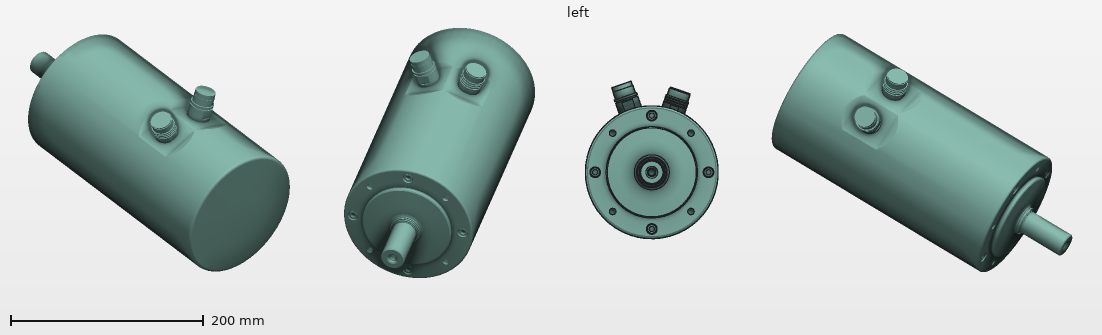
import cadquery as cq
import math

BODY_RADIUS = 138.0 / 2
LENGTH = 325.0

SHAFT_RADIUS = 25.0 / 2
SHAFT_TIP_CHAMFER = 1.0
SHAFT_GROOVE_X = 48.0

SHAFT_GROOVE_RADIUS = 12.0
SHAFT_GROOVE_END_X = 49.5
HUB_FACE_X = 50.5
SEAL_GROOVE_INNER_RADIUS = 27.0 / 2
SEAL_GROOVE_OUTER_RADIUS = 30.0 / 2
SEAL_GROOVE_DEPTH = 1.5
HUB_RIM_RADIUS = 15.5
HUB_RIM_END_X = 51.7
HUB_NECK_RADIUS = 15.0
HUB_NECK_END_X = 52.5
HUB_RADIUS = 16.0
HUB_FLARE_X = 54.3

CONE_START_X = 55.2
CONE_START_RADIUS = 18.2
CONE_END_X = 57.5
CONE_END_RADIUS = 46.0

SPIGOT_RADIUS = 47.5
SPIGOT_CHAMFER_END_X = 58.5
RELIEF_RADIUS = 46.8
RELIEF_X = 60.0

FLANGE_X = 63.0
FLANGE_FILLET = 2.3
REAR_FILLET = 3.2
REAR_CONE_HEIGHT = 1.15

CENTRE_MOUTH_DIAMETER = 12.5
CENTRE_COUNTERSINK_DEPTH = 1.0
CENTRE_BORE_DIAMETER = 9.0
CENTRE_BORE_DEPTH = 3.2
CENTRE_DRILL_DIAMETER = 6.8
CENTRE_DRILL_DEPTH = 16.2

TAPPED_HOLE_DIAMETER = 6.8
TAPPED_HOLE_DEPTH = 13.0
TAPPED_CIRCLE_RADIUS = 57.5
TAPPED_START_ANGLE = 45.0
DRILL_POINT_ANGLE = 118.0
SCREW_CIRCLE_RADIUS = 58.8
SCREW_START_ANGLE = 0.0
SCREW_RECESS_DIAMETER = 11.0
SCREW_HEAD_DIAMETER = 9.0
SCREW_RECESS_DEPTH = 3.2
SCREW_HEAD_SUNK = 1.0
SCREW_SOCKET_DIAMETER = 5.5
SCREW_SOCKET_DEPTH = 3.2
HOLES_PER_CIRCLE = 4

CONNECTOR_X = 231.0
CONNECTOR_TILT = 19.1
FLAT_SIZE = 42.2
FLAT_END_SLOPE = 20.0
CUT_CLEARANCE = 3.2
FLAT_HEIGHT = math.sqrt(BODY_RADIUS**2 - (FLAT_SIZE / 2) ** 2)

COLLAR_RADIUS = 12.5
GROOVE_RADIUS = 11.0
RIM_RADIUS = 10.7

POWER_BASE_RADIUS = 24.5 / 2
POWER_ACROSS_FLATS = 21.5
POWER_PLUG_RADIUS = 11.0
POWER_TOP = 96.5
POWER_RIM = 91.5
POWER_COLLAR_BOTTOM = 81.2
POWER_COLLAR_TOP = 83.5
POWER_GROOVE_BOTTOM = 79.5
POWER_WRENCH_BOTTOM = 69.2
POWER_WRENCH_TOP = 78.3

SIGNAL_BASE_RADIUS = 12.5
SIGNAL_ACROSS_FLATS = 23.0
SIGNAL_PLUG_RADIUS = 11.5
SIGNAL_TOP = 90.0
SIGNAL_RIM = 88.7
SIGNAL_WRENCH_TOP = 72.8
SIGNAL_RIBS_BOTTOM = 73.5
SIGNAL_FIRST_RIB_BOTTOM = 74.5
SIGNAL_RIB_PITCH = 2.5
SIGNAL_RIB_WIDTH = 1.5
SIGNAL_RIB_COUNT = 3


def turned_motor():
    """Housing, end cover and shaft revolved as one profile of (X, radius) points."""
    rear_face_x = LENGTH - REAR_CONE_HEIGHT
    front_to_hub = [
        (0, 0),
        (0, SHAFT_RADIUS - SHAFT_TIP_CHAMFER),
        (SHAFT_TIP_CHAMFER, SHAFT_RADIUS),
        (SHAFT_GROOVE_X, SHAFT_RADIUS),
        (SHAFT_GROOVE_X, SHAFT_GROOVE_RADIUS),
        (SHAFT_GROOVE_END_X, SHAFT_GROOVE_RADIUS),
        (SHAFT_GROOVE_END_X, SHAFT_RADIUS),
        (HUB_FACE_X, SHAFT_RADIUS),
        (HUB_FACE_X, SEAL_GROOVE_INNER_RADIUS),
        (HUB_FACE_X + SEAL_GROOVE_DEPTH, SEAL_GROOVE_INNER_RADIUS),
        (HUB_FACE_X + SEAL_GROOVE_DEPTH, SEAL_GROOVE_OUTER_RADIUS),
        (HUB_FACE_X, SEAL_GROOVE_OUTER_RADIUS),
        (HUB_FACE_X, HUB_RIM_RADIUS),
        (HUB_RIM_END_X, HUB_RIM_RADIUS),
        (HUB_RIM_END_X, HUB_NECK_RADIUS),
        (HUB_NECK_END_X, HUB_NECK_RADIUS),
        (HUB_NECK_END_X, HUB_RADIUS),
        (HUB_FLARE_X, HUB_RADIUS),
    ]
    cover_to_flange = [
        (CONE_START_X, CONE_START_RADIUS),
        (CONE_END_X, CONE_END_RADIUS),
        (SPIGOT_CHAMFER_END_X, SPIGOT_RADIUS),
        (RELIEF_X, SPIGOT_RADIUS),
        (RELIEF_X, RELIEF_RADIUS),
        (FLANGE_X, RELIEF_RADIUS),
        (FLANGE_X, BODY_RADIUS - FLANGE_FILLET),
    ]
    profile = (
        cq.Workplane("XY")
        .polyline(front_to_hub + cover_to_flange)
        .radiusArc((FLANGE_X + FLANGE_FILLET, BODY_RADIUS), FLANGE_FILLET)
        .lineTo(rear_face_x - REAR_FILLET, BODY_RADIUS)
        .radiusArc((rear_face_x, BODY_RADIUS - REAR_FILLET), REAR_FILLET)
        .lineTo(LENGTH, 0)
        .close()
    )
    return profile.revolve(360, (0, 0, 0), (1, 0, 0))


def along_x(x, y=0.0, z=0.0):
    """Workplane facing +X through the given point."""
    return cq.Workplane("YZ", origin=(x, y, z))


def circle_positions(radius, first_angle):
    """Evenly spaced (Y, Z) points on a bolt circle."""
    angles = [math.radians(first_angle + i * 360 / HOLES_PER_CIRCLE) for i in range(HOLES_PER_CIRCLE)]
    return [(radius * math.cos(a), radius * math.sin(a)) for a in angles]


def pointed_hole(x, y, z, diameter, depth):
    """Drilled hole running in +X, ending in a drill point."""
    radius = diameter / 2
    point = radius / math.tan(math.radians(DRILL_POINT_ANGLE / 2))
    profile = [(0, 0), (0, radius), (depth, radius), (depth + point, 0)]
    hole = cq.Workplane("XY").polyline(profile).close().revolve(360, (0, 0, 0), (1, 0, 0))
    return hole.translate((x, y, z))


def shaft_centre_hole():
    """Countersunk centre hole with a shallow bore and a pointed drill hole."""
    countersink = (
        along_x(0)
        .circle(CENTRE_MOUTH_DIAMETER / 2)
        .workplane(offset=CENTRE_COUNTERSINK_DEPTH)
        .circle(CENTRE_BORE_DIAMETER / 2)
        .loft()
    )
    bore = along_x(0).circle(CENTRE_BORE_DIAMETER / 2).extrude(CENTRE_BORE_DEPTH)
    drill = pointed_hole(0, 0, 0, CENTRE_DRILL_DIAMETER, CENTRE_DRILL_DEPTH)
    return countersink.union(bore).union(drill)


def screw_recess(y, z):
    """Counterbore around a sunk screw head, and the socket in the head."""
    counterbore = along_x(FLANGE_X, y, z).circle(SCREW_RECESS_DIAMETER / 2).extrude(SCREW_RECESS_DEPTH)
    head_x = FLANGE_X + SCREW_HEAD_SUNK
    head_height = SCREW_RECESS_DEPTH - SCREW_HEAD_SUNK
    head = along_x(head_x, y, z).circle(SCREW_HEAD_DIAMETER / 2).extrude(head_height)
    socket = along_x(head_x, y, z).circle(SCREW_SOCKET_DIAMETER / 2).extrude(SCREW_SOCKET_DEPTH)
    return counterbore.cut(head).union(socket)


def tilted(shape, tilt):
    """Move a shape built upright on the motor axis to a connector's place."""
    return shape.rotate((0, 0, 0), (1, 0, 0), tilt).translate((CONNECTOR_X, 0, 0))


def connector_flat_cut():
    """Square flat with sloping ends, cut into the top of the housing."""
    cut_height = BODY_RADIUS - FLAT_HEIGHT + CUT_CLEARANCE
    half_bottom = FLAT_SIZE / 2
    half_top = half_bottom + cut_height / math.tan(math.radians(FLAT_END_SLOPE))
    top = FLAT_HEIGHT + cut_height
    section = [(-half_bottom, FLAT_HEIGHT), (half_bottom, FLAT_HEIGHT), (half_top, top), (-half_top, top)]
    return cq.Workplane("XZ").polyline(section).close().extrude(FLAT_SIZE, both=True)


def make_motor():
    motor = turned_motor().cut(shaft_centre_hole())
    for y, z in circle_positions(TAPPED_CIRCLE_RADIUS, TAPPED_START_ANGLE):
        motor = motor.cut(pointed_hole(FLANGE_X, y, z, TAPPED_HOLE_DIAMETER, TAPPED_HOLE_DEPTH))
    for y, z in circle_positions(SCREW_CIRCLE_RADIUS, SCREW_START_ANGLE):
        motor = motor.cut(screw_recess(y, z))
    for tilt in (-CONNECTOR_TILT, CONNECTOR_TILT):
        motor = motor.cut(tilted(connector_flat_cut(), tilt))
    return motor


def ring(bottom, top, radius):
    """Upright cylinder between two heights above the motor axis."""
    return cq.Workplane("XY", origin=(0, 0, bottom)).circle(radius).extrude(top - bottom)


def base_with_flats(radius, top, across_flats, flats_bottom, flats_top):
    """Connector base standing on the housing flat, with wrench flats on its -X and +X sides."""
    base = ring(FLAT_HEIGHT, top, radius)
    outside = ring(flats_bottom, flats_top, radius)
    between_flats = cq.Workplane("XY").rect(across_flats, 2 * radius).extrude(top)
    return base.cut(outside.cut(between_flats))


def make_power_connector():
    connector = base_with_flats(
        POWER_BASE_RADIUS, POWER_GROOVE_BOTTOM, POWER_ACROSS_FLATS, POWER_WRENCH_BOTTOM, POWER_WRENCH_TOP
    )
    connector = connector.union(ring(POWER_GROOVE_BOTTOM, POWER_COLLAR_BOTTOM, GROOVE_RADIUS))
    connector = connector.union(ring(POWER_COLLAR_BOTTOM, POWER_COLLAR_TOP, COLLAR_RADIUS))
    connector = connector.union(ring(POWER_COLLAR_TOP, POWER_RIM, POWER_PLUG_RADIUS))
    connector = connector.union(ring(POWER_RIM, POWER_TOP, RIM_RADIUS))
    return tilted(connector, -CONNECTOR_TILT)


def make_signal_connector():
    connector = base_with_flats(
        SIGNAL_BASE_RADIUS, SIGNAL_RIBS_BOTTOM, SIGNAL_ACROSS_FLATS, FLAT_HEIGHT, SIGNAL_WRENCH_TOP
    )
    connector = connector.union(ring(SIGNAL_RIBS_BOTTOM, SIGNAL_RIM, SIGNAL_PLUG_RADIUS))
    connector = connector.union(ring(SIGNAL_RIM, SIGNAL_TOP, RIM_RADIUS))
    for i in range(SIGNAL_RIB_COUNT):
        rib_bottom = SIGNAL_FIRST_RIB_BOTTOM + i * SIGNAL_RIB_PITCH
        connector = connector.union(ring(rib_bottom, rib_bottom + SIGNAL_RIB_WIDTH, COLLAR_RADIUS))
    return tilted(connector, CONNECTOR_TILT)


motor = make_motor()
power_connector = make_power_connector()
signal_connector = make_signal_connector()

result = cq.Compound.makeCompound([motor.val(), power_connector.val(), signal_connector.val()])